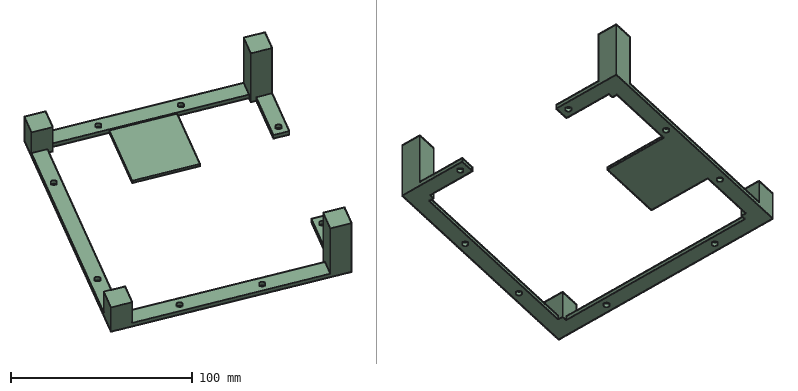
import cadquery as cq

LENGTH = 150.0
WIDTH = 140.0
HEIGHT = 40.0
BAR_WIDTH = 9.3
BAR_THICKNESS = 3.0

POST_SIDE = 12.5
SHORT_POST_HEIGHT = 20.0

STUB_LENGTH = 42.2

PLATE_SIDE = 39.5
PLATE_CENTER_Y = -3.9
PLATE_THICKNESS = 2.0

HOLE_DIAMETER = 3.5
END_HOLE_SPACING = 75.8
SIDE_HOLE_SPACING = 48.0
SIDE_HOLE_CENTER_Y = -4.5

LEFT = -LENGTH / 2
RIGHT = LENGTH / 2
FRONT = -WIDTH / 2
BACK = WIDTH / 2


def block(x_min, y_min, x_size, y_size, height):
    """Box standing on the base plane, placed by its lower left corner."""
    return cq.Workplane("XY").box(x_size, y_size, height, centered=False).translate((x_min, y_min, 0))


def make_bars():
    front_bar = block(LEFT, FRONT, LENGTH, BAR_WIDTH, BAR_THICKNESS)
    bars = front_bar
    for x_min in (LEFT, RIGHT - BAR_WIDTH):
        bars = bars.union(block(x_min, FRONT, BAR_WIDTH, WIDTH, BAR_THICKNESS))
    for x_min in (LEFT, RIGHT - STUB_LENGTH):
        bars = bars.union(block(x_min, BACK - BAR_WIDTH, STUB_LENGTH, BAR_WIDTH, BAR_THICKNESS))
    return bars


def add_posts(frame):
    for x_min in (LEFT, RIGHT - POST_SIDE):
        frame = frame.union(block(x_min, FRONT, POST_SIDE, POST_SIDE, SHORT_POST_HEIGHT))
        frame = frame.union(block(x_min, BACK - POST_SIDE, POST_SIDE, POST_SIDE, HEIGHT))
    return frame


def add_plate(frame):
    plate_front = PLATE_CENTER_Y - PLATE_SIDE / 2
    return frame.union(block(LEFT + BAR_WIDTH, plate_front, PLATE_SIDE, PLATE_SIDE, PLATE_THICKNESS))


def drill_holes(frame):
    end_x = END_HOLE_SPACING / 2
    end_y = (WIDTH - BAR_WIDTH) / 2
    side_x = (LENGTH - BAR_WIDTH) / 2
    side_y = SIDE_HOLE_SPACING / 2
    centers = []
    for side in (-1, 1):
        for end in (-1, 1):
            centers.append((side * end_x, end * end_y))
            centers.append((side * side_x, SIDE_HOLE_CENTER_Y + end * side_y))
    drills = cq.Workplane("XY").pushPoints(centers).circle(HOLE_DIAMETER / 2).extrude(BAR_THICKNESS)
    return frame.cut(drills)


result = drill_holes(add_plate(add_posts(make_bars())))